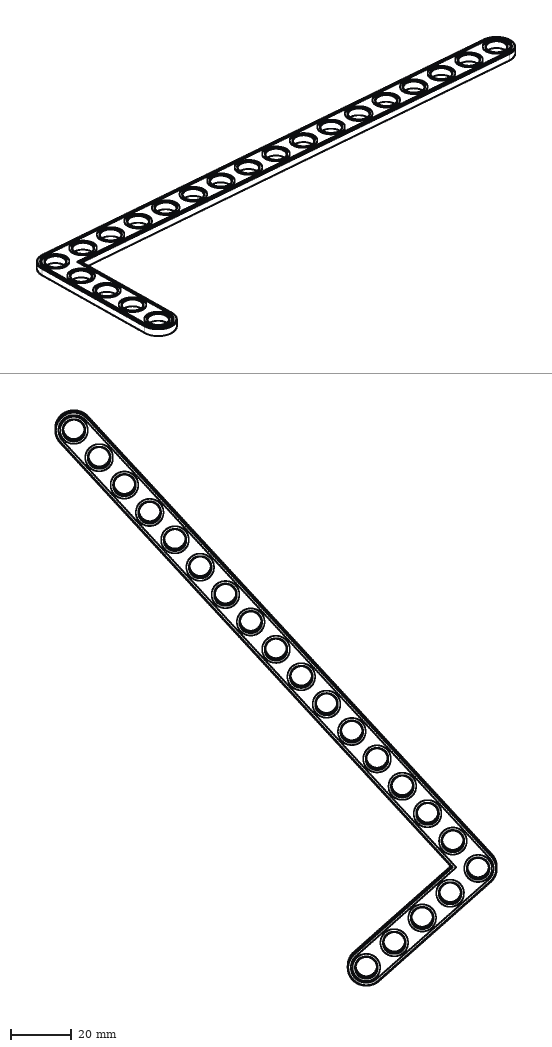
import cadquery as cq

pitch = 12.5
long_arm_holes = 17
short_arm_holes = 5
plate_width = pitch
thickness = pitch / 4
edge_chamfer = 0.3

rim_width = 1.1
floor_depth = 0.2
floor_width = plate_width - 2 * rim_width

hole_diameter = 7.0
collar_diameter = 9.2

long_reach = (long_arm_holes - 1) * pitch
short_reach = (short_arm_holes - 1) * pitch
short_arm_points = [(i * pitch, 0) for i in range(short_arm_holes)]
long_arm_points = [(0, i * pitch) for i in range(1, long_arm_holes)]
hole_points = short_arm_points + long_arm_points


def make_arm(reach, width, height):
    """Full-round bar along +X, its first end centred on the corner hole."""
    return cq.Workplane("XY").center(reach / 2, 0).slot2D(reach + width, width).extrude(height)


def make_angle(width, height):
    """L-shaped plate along the hole rows, standing on Z = 0."""
    short_arm = make_arm(short_reach, width, height)
    long_arm = make_arm(long_reach, width, height).rotate((0, 0, 0), (0, 0, 1), 90)
    return short_arm.union(long_arm).clean()


def make_plate():
    """L-shaped plate with its outer edges chamfered on both faces."""
    return make_angle(plate_width, thickness).faces("<Z or >Z").edges().chamfer(edge_chamfer)


def make_recess():
    """Material removed from one face, standing on Z = 0, with the collars left out."""
    collars = cq.Workplane("XY").pushPoints(hole_points).circle(collar_diameter / 2).extrude(floor_depth)
    return make_angle(floor_width, floor_depth).cut(collars)


def make_hole_cutter():
    """Through hole with a chamfered mouth at each face, as a solid of revolution about Z."""
    hole_radius = hole_diameter / 2
    mouth_radius = hole_radius + edge_chamfer
    profile = (
        cq.Workplane("XZ")
        .moveTo(0, 0)
        .lineTo(mouth_radius, 0)
        .lineTo(hole_radius, edge_chamfer)
        .lineTo(hole_radius, thickness - edge_chamfer)
        .lineTo(mouth_radius, thickness)
        .lineTo(0, thickness)
        .close()
    )
    return profile.revolve(360, (0, 0, 0), (0, 1, 0))


recess = make_recess()
hole_cutter = make_hole_cutter()

result = make_plate()
for recess_bottom in (0, thickness - floor_depth):
    result = result.cut(recess.translate((0, 0, recess_bottom)))
for x, y in hole_points:
    result = result.cut(hole_cutter.translate((x, y, 0)))